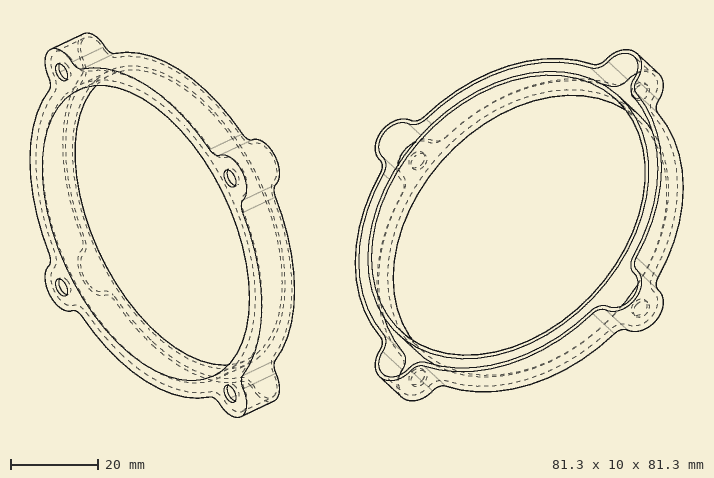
import cadquery as cq
import math

outer_diameter = 81.3
bore_diameter = 72.6
depth = 10.0
wall = 1.0

lug_spacing = 59.0
lug_radius = 5.85
hole_diameter = 4.2
blend_radius = 3.0

rim_radius = outer_diameter / 2
lug_distance = lug_spacing / math.sqrt(2)
lug_angles = [45, 135, 225, 315]

blend_distance = rim_radius + blend_radius
blend_angle = math.degrees(math.acos(
    (blend_distance**2 + lug_distance**2 - (lug_radius + blend_radius)**2)
    / (2 * blend_distance * lug_distance)
))


def polar(radius, angle):
    """Vector in the sketch plane from a radius and an angle in degrees."""
    return cq.Vector(radius * math.cos(math.radians(angle)), radius * math.sin(math.radians(angle)))


def blend_arc(lug_angle, side, inset):
    """Rim end, middle and lug end of the blend on one side (-1 or +1) of a lug."""
    angle = lug_angle + side * blend_angle
    centre = polar(blend_distance, angle)
    to_rim = polar(-1, angle)
    to_lug = (polar(lug_distance, lug_angle) - centre).normalized()
    to_middle = (to_rim + to_lug).normalized()
    radius = blend_radius + inset
    return [(centre + direction * radius).toTuple()[:2] for direction in (to_rim, to_middle, to_lug)]


def lugged_disc(inset, height):
    """Disc with four blended lugs, its outline moved inward by inset, extruded toward -Y."""
    start = blend_arc(lug_angles[0], -1, inset)[0]
    outline = cq.Workplane("XZ").moveTo(*start)
    for lug_angle in lug_angles:
        _, entry_middle, entry_end = blend_arc(lug_angle, -1, inset)
        exit_end, exit_middle, exit_start = blend_arc(lug_angle, 1, inset)
        next_start = blend_arc(lug_angle + 90, -1, inset)[0]
        lug_tip = polar(lug_distance + lug_radius - inset, lug_angle).toTuple()[:2]
        rim_middle = polar(rim_radius - inset, lug_angle + 45).toTuple()[:2]
        outline = (
            outline.threePointArc(entry_middle, entry_end)
            .threePointArc(lug_tip, exit_start)
            .threePointArc(exit_middle, exit_end)
            .threePointArc(rim_middle, next_start)
        )
    return outline.close().extrude(height)


def disc(diameter):
    """Full-depth disc on the ring axis."""
    return cq.Workplane("XZ").circle(diameter / 2).extrude(depth)


channel = lugged_disc(wall, depth - wall).cut(disc(bore_diameter + 2 * wall))

holes = (
    cq.Workplane("XZ")
    .rect(lug_spacing, lug_spacing, forConstruction=True)
    .vertices()
    .circle(hole_diameter / 2)
    .extrude(depth)
)

result = lugged_disc(0, depth).cut(disc(bore_diameter)).cut(channel).cut(holes)